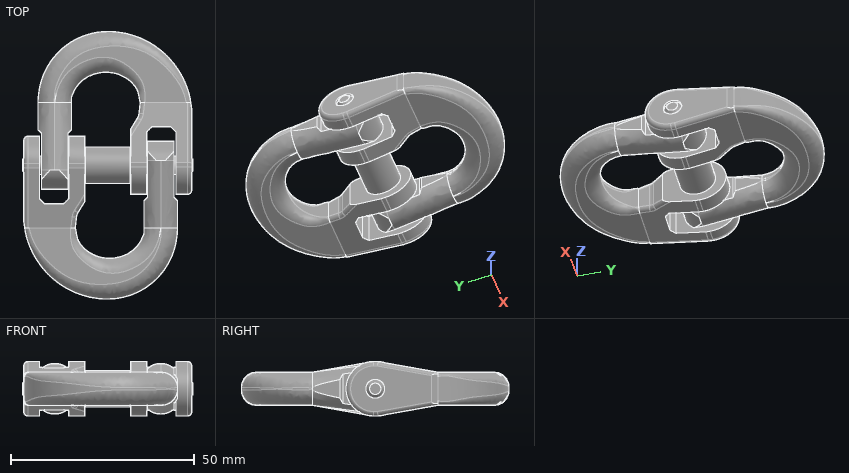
import cadquery as cq
import math

overall_length = 72.95
pin_length = 46.5
pin_radius = 2.55
pin_end_chamfer = 1.0
sleeve_radius = 5.0
sleeve_length = 12.25

bar_height = 9.05
bar_half_height = bar_height / 2
bend_y = -17.15
bend_bottom_y = -overall_length / 2
fork_outer_x = -22.9
opening_center_x = 0.5
opening_half_width = 9.3
opening_depth = 8.2
fork_arc_radius = 22.9
tongue_outer_x = 19.05
bottom_corner_radius = 4.1
tongue_corner_radius = 4.45
stations_per_side = 4
selection_margin = 0.1

fork_inner_x = -6.2
fork_edge_radius = 1.25
knuckle_radius = 7.45
knuckle_center_y = 0.5
knuckle_flat_end_y = -0.7
bevel_start_y = -15.3
shoulder_top_y = -9.85
shoulder_bottom_y = -13.35
shoulder_bottom_x = -8.4
shoulder_bend_radius = 2.9
slot_center_x = -14.6
slot_width = 7.9
slot_bottom_y = -10.4
slot_chamfer = 1.3

tongue_width = 7.3
tongue_eye_radius = 7.0
tongue_eye_center_y = -0.45
tongue_taper_end_y = 1.25
tongue_dome_half_width = 6.0
tongue_dome_half_height = 6.9
tongue_step_y = -9.6
tongue_step_chamfer = 0.9

opening_left_x = opening_center_x - opening_half_width
opening_right_x = opening_center_x + opening_half_width
tongue_root_radius = (tongue_outer_x - opening_right_x) / 2
tongue_center_x = (tongue_outer_x + opening_right_x) / 2
fork_arc_center_y = bend_bottom_y + fork_arc_radius
fork_arc_start = math.asin((fork_arc_center_y - bend_y) / fork_arc_radius)
bend_start_x = -fork_arc_radius * math.cos(fork_arc_start)


def bar_section(inner, outer, corner_radius):
    """Rounded rectangle standing across the bar, from the inner to the outer point."""
    dx = outer[0] - inner[0]
    dy = outer[1] - inner[1]
    middle = ((inner[0] + outer[0]) / 2, (inner[1] + outer[1]) / 2, 0)
    plane = cq.Plane(origin=middle, xDir=(dx, dy, 0), normal=(dy, -dx, 0))
    sketch = cq.Sketch().rect(math.hypot(dx, dy), bar_height).vertices().fillet(corner_radius)
    return cq.Workplane(plane).placeSketch(sketch)._getFaces()[0].outerWire()


def opening_point(angle):
    return (
        opening_center_x - opening_half_width * math.cos(angle),
        bend_y - opening_depth * math.sin(angle),
    )


def make_bend():
    sections = []
    for i in range(2 * stations_per_side + 1):
        share = i / stations_per_side
        angle = share * math.pi / 2
        if share <= 1:
            arc_angle = fork_arc_start + share * (math.pi / 2 - fork_arc_start)
            outer_half_width = fork_arc_radius
            outer_center_y = fork_arc_center_y
            corner = fork_edge_radius + share * (bottom_corner_radius - fork_edge_radius)
        else:
            arc_angle = angle
            outer_half_width = tongue_outer_x
            outer_center_y = bend_y
            corner = bottom_corner_radius + (share - 1) * (tongue_corner_radius - bottom_corner_radius)
        outer = (
            -outer_half_width * math.cos(arc_angle),
            outer_center_y - (outer_center_y - bend_bottom_y) * math.sin(arc_angle),
        )
        sections.append(bar_section(opening_point(angle), outer, corner))
    return cq.Workplane(cq.Solid.makeLoft(sections))


def make_fork():
    knuckle_tip_y = knuckle_center_y + knuckle_radius
    plan = (
        cq.Workplane("XY", origin=(0, 0, -knuckle_radius))
        .moveTo(bend_start_x, bend_y)
        .lineTo(fork_outer_x, bevel_start_y)
        .lineTo(fork_outer_x, knuckle_tip_y)
        .lineTo(fork_inner_x, knuckle_tip_y)
        .lineTo(fork_inner_x, shoulder_top_y)
        .lineTo(shoulder_bottom_x, shoulder_bottom_y)
        .lineTo(opening_left_x, bend_y)
        .close()
        .extrude(2 * knuckle_radius)
    )
    side = (
        cq.Workplane("YZ", origin=(fork_outer_x, 0, 0))
        .moveTo(bend_y, -bar_half_height)
        .lineTo(knuckle_flat_end_y, -knuckle_radius)
        .lineTo(knuckle_center_y, -knuckle_radius)
        .threePointArc((knuckle_tip_y, 0), (knuckle_center_y, knuckle_radius))
        .lineTo(knuckle_flat_end_y, knuckle_radius)
        .lineTo(bend_y, bar_half_height)
        .close()
        .extrude(fork_inner_x - fork_outer_x)
    )
    shoulder_bend = cq.selectors.NearestToPointSelector((shoulder_bottom_x, shoulder_bottom_y, 0))
    plan = plan.edges("|Z").edges(shoulder_bend).fillet(shoulder_bend_radius)
    fork = plan.intersect(side)
    outer_rim = cq.selectors.BoxSelector(
        (fork_outer_x - selection_margin, bevel_start_y, -overall_length),
        (fork_outer_x + fork_edge_radius / 2, overall_length, overall_length),
    )
    fork = fork.edges(outer_rim).edges("not(#X and #Y)").edges("not(|Z)").fillet(fork_edge_radius)
    shoulder_rim = cq.selectors.BoxSelector(
        (opening_left_x - selection_margin, bend_y, -overall_length),
        (fork_inner_x - selection_margin, shoulder_top_y, overall_length),
    )
    fork = fork.edges(shoulder_rim).edges("not(|Z)").edges("not(|X)").fillet(fork_edge_radius)
    slot_length = knuckle_tip_y - slot_bottom_y
    slot = (
        cq.Workplane("XY")
        .box(slot_width, slot_length, 2 * knuckle_radius, centered=(True, False, True))
        .edges("|Z and <Y")
        .chamfer(slot_chamfer)
        .translate((slot_center_x, slot_bottom_y, 0))
    )
    return fork.cut(slot)


def make_tongue():
    taper_length = tongue_taper_end_y - bend_y
    taper = (
        cq.Workplane("XZ", origin=(tongue_center_x, bend_y, 0))
        .ellipse(tongue_root_radius, bar_half_height)
        .workplane(offset=-taper_length)
        .ellipse(tongue_dome_half_width, tongue_dome_half_height)
        .loft()
    )
    end = (
        cq.Workplane("XZ", origin=(tongue_center_x, tongue_taper_end_y, 0))
        .ellipse(tongue_dome_half_width, tongue_dome_half_height)
        .extrude(-tongue_eye_radius)
    )
    eye = (
        cq.Workplane("YZ", origin=(tongue_center_x, 0, 0))
        .center(tongue_eye_center_y, 0)
        .circle(tongue_eye_radius)
        .extrude(tongue_width, both=True)
    )
    half_width = tongue_width / 2
    step_end_y = tongue_step_y + tongue_step_chamfer
    tip_y = tongue_eye_center_y + tongue_eye_radius
    outline = (
        cq.Workplane("XY", origin=(tongue_center_x, 0, -tongue_eye_radius))
        .polyline([
            (-tongue_root_radius, bend_y),
            (-tongue_root_radius, tongue_step_y),
            (-half_width, step_end_y),
            (-half_width, tip_y),
            (half_width, tip_y),
            (half_width, step_end_y),
            (tongue_root_radius, tongue_step_y),
            (tongue_root_radius, bend_y),
        ])
        .close()
        .extrude(2 * tongue_eye_radius)
    )
    return taper.union(end.intersect(eye)).intersect(outline)


def x_cylinder(radius, length):
    return cq.Workplane("YZ", origin=(-length / 2, 0, 0)).circle(radius).extrude(length)


def make_half_link():
    link = make_bend().union(make_fork()).union(make_tongue())
    return link.cut(x_cylinder(pin_radius, pin_length))


def make_sleeve():
    return x_cylinder(sleeve_radius, sleeve_length).cut(x_cylinder(pin_radius, sleeve_length))


def make_pin():
    body_length = pin_length - 2 * pin_end_chamfer
    half_body = body_length / 2
    half_length = pin_length / 2
    return (
        cq.Workplane("XY")
        .polyline([
            (-half_length, 0),
            (-half_length, pin_radius - pin_end_chamfer),
            (-half_body, pin_radius),
            (half_body, pin_radius),
            (half_length, pin_radius - pin_end_chamfer),
            (half_length, 0),
        ])
        .close()
        .revolve(360, (0, 0, 0), (1, 0, 0))
    )


half_link = make_half_link()
half_links = [half_link.rotate((0, 0, 0), (0, 0, 1), turn).val() for turn in (0, 180)]
sleeve = make_sleeve()
pin = make_pin()

result = cq.Compound.makeCompound([*half_links, sleeve.val(), pin.val()])